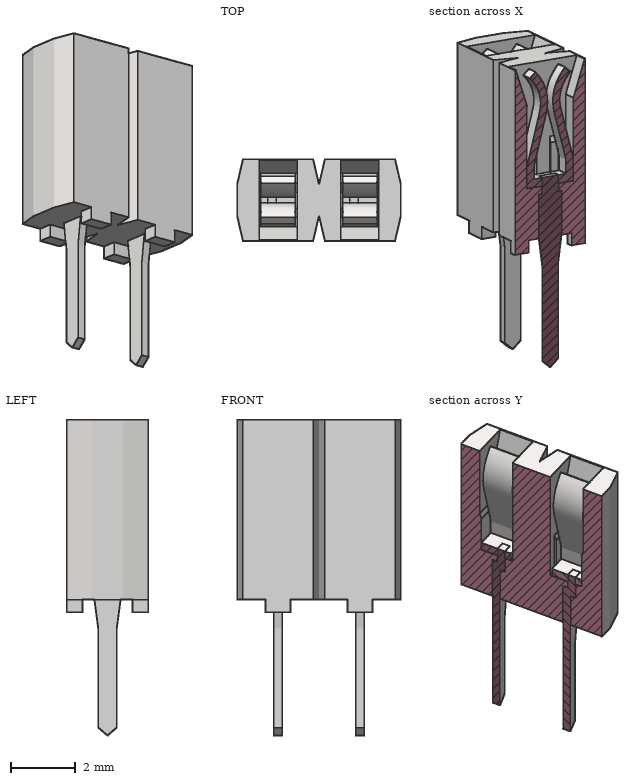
import cadquery as cq
import math

PITCH = 2.54
CONTACT_COUNT = 2
TOTAL_HEIGHT = 9.8
HOUSING_HEIGHT = 5.58
HOUSING_WIDTH_Y = 2.54
SHEET = 0.27

CELL_FLAT_Y = 1.0
CELL_TAPER_X = 0.18

FOOT_X = 0.78
FOOT_Y = 0.5
FOOT_HEIGHT = 0.4

CAVITY_X = 1.18
MOUTH_Y = 2.46
CAVITY_Y = 1.66
FUNNEL_DEPTH = 1.2
CAVITY_FLOOR_Z = 1.7

RIB_HALF_Y = 0.53
RIB_GAP_HALF_Y = 0.25
RIB_HEIGHT = 1.4
RIB_RAMP = 0.18

CLIP_X = 1.06
TIP_Y = 0.53
TIP_DEPTH = 0.16
CONTACT_GAP = 0.17
BEND_START_Y = 0.41
LEAD_IN_ANGLE = 40
SPREAD_ANGLE = 15

PIN_ROOT_Y = 0.82
PIN_SHANK_Y = 0.58
PIN_TAPER_LENGTH = 0.9
PIN_POINT_LENGTH = 0.25
TAB_Y = 0.58
TAB_OFFSET_X = -0.185

contact_xs = [(i - (CONTACT_COUNT - 1) / 2) * PITCH for i in range(CONTACT_COUNT)]
clip_floor_z = CAVITY_FLOOR_Z + SHEET
leaf_tip_z = HOUSING_HEIGHT - TIP_DEPTH


def block(x_range, y_range, z_range):
    """Box between the given (low, high) limits."""
    lows, highs = zip(x_range, y_range, z_range)
    sizes = [high - low for low, high in zip(lows, highs)]
    return cq.Workplane("XY").box(*sizes, centered=False).translate(lows)


def make_pin():
    """Flat pin with a tapered root and a pointed end; a tab set to one side rises into the clip."""
    tip_z = HOUSING_HEIGHT - TOTAL_HEIGHT
    root, shank = PIN_ROOT_Y / 2, PIN_SHANK_Y / 2
    jog_top = CAVITY_FLOOR_Z - SHEET
    jog_bottom = jog_top - SHEET
    right_side = [
        (root, jog_top),
        (root, 0),
        (shank, -PIN_TAPER_LENGTH),
        (shank, tip_z + PIN_POINT_LENGTH),
    ]
    left_side = [(-y, z) for y, z in reversed(right_side)]
    blade = (
        cq.Workplane("YZ", origin=(-SHEET / 2, 0, 0))
        .polyline(right_side + [(0, tip_z)] + left_side)
        .close()
        .extrude(SHEET)
    )
    tab_x = (TAB_OFFSET_X - SHEET / 2, TAB_OFFSET_X + SHEET / 2)
    tab = block(tab_x, (-TAB_Y / 2, TAB_Y / 2), (jog_bottom, clip_floor_z))
    return blade.union(tab)


def make_clip():
    """U-shaped spring clip: two leaves that pinch together at the neck and flare out at the tips."""
    lead_in = math.radians(LEAD_IN_ANGLE)
    spread = math.radians(SPREAD_ANGLE)
    inner_radius = (BEND_START_Y - CONTACT_GAP / 2) / (1 - math.cos(lead_in))
    outer_radius = inner_radius - SHEET
    bend_y = CONTACT_GAP / 2 + inner_radius
    bend_z = leaf_tip_z - (TIP_Y - BEND_START_Y) / math.tan(lead_in) - inner_radius * math.sin(lead_in)
    base_outer = CAVITY_Y / 2
    base_inner = base_outer - SHEET

    def on_bend(radius, angle):
        return bend_y - radius * math.cos(angle), bend_z + radius * math.sin(angle)

    def down_to(y, start):
        """Point on the spread-out straight below the bend where it reaches y."""
        return y, start[1] - (y - start[0]) / math.tan(spread)

    inner_end = on_bend(inner_radius, -spread)
    outer_end = on_bend(outer_radius, -spread)
    outer_tip = (TIP_Y + SHEET * math.cos(lead_in), leaf_tip_z - SHEET * math.sin(lead_in))
    leaf = (
        cq.Workplane("YZ", origin=(-CLIP_X / 2, 0, 0))
        .moveTo(0, CAVITY_FLOOR_Z)
        .lineTo(base_outer, CAVITY_FLOOR_Z)
        .lineTo(*down_to(base_outer, outer_end))
        .lineTo(*outer_end)
        .threePointArc(on_bend(outer_radius, 0), on_bend(outer_radius, lead_in))
        .lineTo(*outer_tip)
        .lineTo(TIP_Y, leaf_tip_z)
        .lineTo(*on_bend(inner_radius, lead_in))
        .threePointArc(on_bend(inner_radius, 0), inner_end)
        .lineTo(*down_to(base_inner, inner_end))
        .lineTo(base_inner, clip_floor_z)
        .lineTo(0, clip_floor_z)
        .close()
        .extrude(CLIP_X)
    )
    return leaf.union(leaf.mirror("XZ"))


def make_cell():
    """Octagonal housing block around one contact."""
    flat_x, corner_x = PITCH / 2, PITCH / 2 - CELL_TAPER_X
    flat_y, corner_y = CELL_FLAT_Y / 2, HOUSING_WIDTH_Y / 2
    front = [(-flat_x, -flat_y), (-corner_x, -corner_y), (corner_x, -corner_y), (flat_x, -flat_y)]
    back = [(-x, -y) for x, y in front]
    return cq.Workplane("XY").polyline(front + back).close().extrude(HOUSING_HEIGHT)


def make_feet():
    """Two feet flush with the front and back faces of a cell."""
    edge = HOUSING_WIDTH_Y / 2
    x_range, z_range = (-FOOT_X / 2, FOOT_X / 2), (-FOOT_HEIGHT, 0)
    front = block(x_range, (-edge, FOOT_Y - edge), z_range)
    return front.union(front.mirror("XZ"))


def make_cavity():
    """Straight pocket with a funnel mouth sloping in Y."""
    mouth, wall = MOUTH_Y / 2, CAVITY_Y / 2
    funnel_z = HOUSING_HEIGHT - FUNNEL_DEPTH
    right_side = [(wall, CAVITY_FLOOR_Z), (wall, funnel_z), (mouth, HOUSING_HEIGHT)]
    left_side = [(-y, z) for y, z in reversed(right_side)]
    return (
        cq.Workplane("YZ", origin=(-CAVITY_X / 2, 0, 0))
        .polyline(right_side + left_side)
        .close()
        .extrude(CAVITY_X)
    )


def make_rib(y_low, y_high):
    """Guide rib with a ramped top on the +X wall of a cavity, reaching the side of the clip."""
    wall_x, clip_x = CAVITY_X / 2, CLIP_X / 2
    top_z = CAVITY_FLOOR_Z + RIB_HEIGHT
    return (
        cq.Workplane("XZ", origin=(0, y_high, 0))
        .moveTo(wall_x, CAVITY_FLOOR_Z)
        .lineTo(wall_x, top_z)
        .lineTo(clip_x, top_z - RIB_RAMP)
        .lineTo(clip_x, CAVITY_FLOOR_Z)
        .close()
        .extrude(y_high - y_low)
    )


def make_ribs(outer_side):
    """Whole rib on the outer wall (outer_side = +1 or -1 in X), split rib on the inner wall."""
    outer = make_rib(-RIB_HALF_Y, RIB_HALF_Y)
    inner = make_rib(RIB_GAP_HALF_Y, RIB_HALF_Y).union(make_rib(-RIB_HALF_Y, -RIB_GAP_HALF_Y))
    if outer_side > 0:
        return outer.union(inner.mirror("YZ"))
    return inner.union(outer.mirror("YZ"))


def make_housing(pin):
    """Row of cells with feet, each with a cavity, guide ribs and a slot that fits its pin."""
    housing = cq.Workplane("XY")
    for x in contact_xs:
        cell = make_cell().union(make_feet()).cut(make_cavity())
        cell = cell.union(make_ribs(math.copysign(1, x))).cut(pin)
        housing = housing.union(cell.translate((x, 0, 0)))
    return housing


pin = make_pin()
clip = make_clip().cut(pin)
housing = make_housing(pin)

pins = [pin.translate((x, 0, 0)).val() for x in contact_xs]
clips = [clip.translate((x, 0, 0)).val() for x in contact_xs]

result = cq.Compound.makeCompound([housing.val(), *pins, *clips])